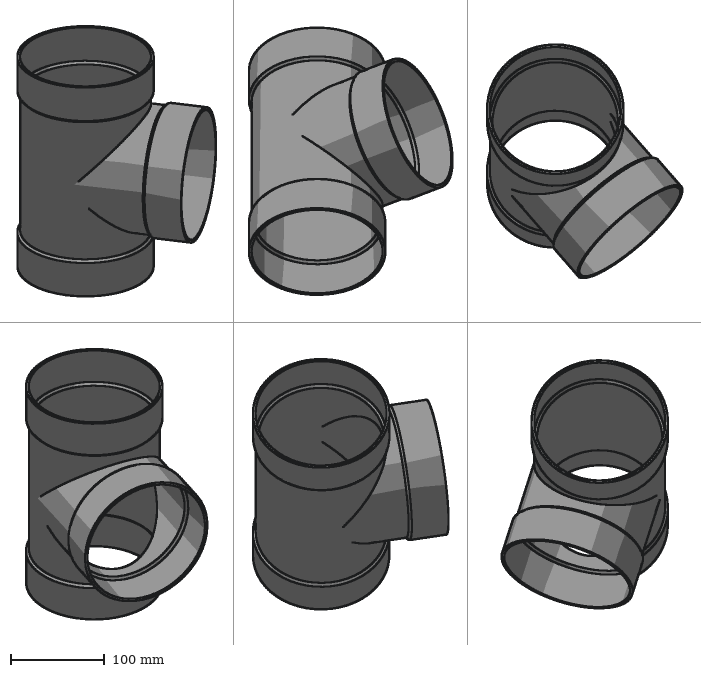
import cadquery as cq

run_length = 250.0
branch_reach = 125.0
pipe_outer_d = 140.0
wall = 3.0
socket_length = 40.0
shoulder_length = 3.0

pipe_outer_r = pipe_outer_d / 2
pipe_inner_r = pipe_outer_r - wall
socket_outer_r = pipe_outer_r + wall
socket_inner_r = pipe_outer_r
half_run = run_length / 2


def vertical_run(pipe_r, socket_r):
    """Solid run centred on Z with a tapered shoulder and a socket at each end."""
    socket_start = half_run - socket_length
    shoulder_start = socket_start - shoulder_length
    return (
        cq.Workplane("XZ")
        .moveTo(0, -half_run)
        .lineTo(socket_r, -half_run)
        .lineTo(socket_r, -socket_start)
        .lineTo(pipe_r, -shoulder_start)
        .lineTo(pipe_r, shoulder_start)
        .lineTo(socket_r, socket_start)
        .lineTo(socket_r, half_run)
        .lineTo(0, half_run)
        .close()
        .revolve(360, (0, 0, 0), (0, 1, 0))
    )


def side_branch(pipe_r, socket_r):
    """Solid branch along +X from the run axis, ending in a shoulder and a socket."""
    socket_start = branch_reach - socket_length
    shoulder_start = socket_start - shoulder_length
    return (
        cq.Workplane("XZ")
        .moveTo(0, 0)
        .lineTo(0, pipe_r)
        .lineTo(shoulder_start, pipe_r)
        .lineTo(socket_start, socket_r)
        .lineTo(branch_reach, socket_r)
        .lineTo(branch_reach, 0)
        .close()
        .revolve(360, (0, 0, 0), (1, 0, 0))
    )


def tee(pipe_r, socket_r):
    """Solid tee: the vertical run joined with its side branch."""
    return vertical_run(pipe_r, socket_r).union(side_branch(pipe_r, socket_r))


body = tee(pipe_outer_r, socket_outer_r)
bore = tee(pipe_inner_r, socket_inner_r)
result = body.cut(bore)